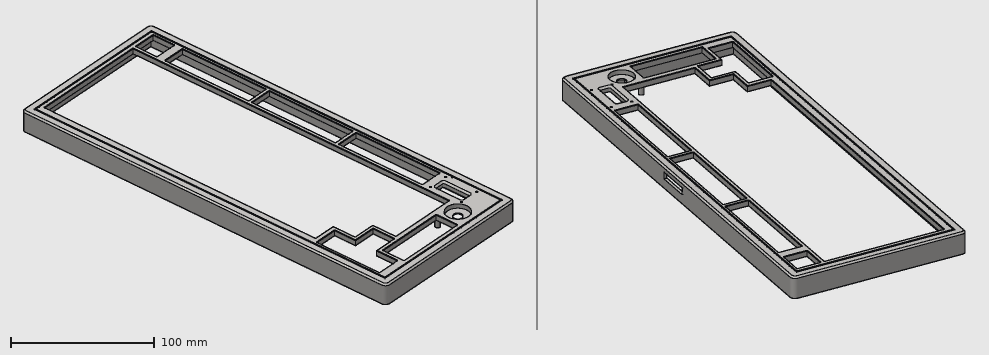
import cadquery as cq
LENGTH = 334.3
WIDTH = 139.5
HEIGHT = 17.5
CORNER_RADIUS = 4.0
TOP_CHAMFER = 1.5
PLATE_THICKNESS = 4.7
PLATE_BOTTOM = HEIGHT - PLATE_THICKNESS
SKIRT_THICKNESS = 2.5

GROOVE_MARGIN = 6.5
GROOVE_WIDTH = 1.0
GROOVE_DEPTH = 1.0

KEY = 19.0
EDGE_CHAMFER = 0.45
OPENING_LEFT = -156.5

MAIN_FRONT = -56.8
MAIN_ROWS = 5
MAIN_RIGHT = 132.7
LOWER_STEP_X = 91.5
UPPER_STEP_X = 111.5

FUNCTION_ROW_FRONT = 41.8
FUNCTION_ROW_DEPTH = 18.5
FUNCTION_BLOCK_LEFT = -129.7
FUNCTION_BLOCK_LENGTH = 76.2
FUNCTION_BLOCK_PITCH = 79.5
FUNCTION_BLOCK_COUNT = 3

SIDE_COLUMN_LEFT = 137.5
SIDE_COLUMN_ROWS = 3

ARROW_CENTER_X = 124.5
ARROW_FRONT = -60.2

SLOT_X = 126.7
SLOT_Y = 49.8
SLOT_LENGTH = 23.7
SLOT_WIDTH = 8.0
SLOT_CORNER_RADIUS = 0.7
SLOT_CHAMFER = 1.5
SCREW_DIAMETER = 1.6
SCREW_SPACING_X = 28.5
SCREW_SPACING_Y = 16.5
SCREW_CENTER_X = 126.0
SCREW_CENTER_Y = 51.5
SCREW_SKIN = 0.5

KNOB_X = 146.5
KNOB_Y = 32.0
KNOB_RECESS_DIAMETER = 19.0
KNOB_RECESS_DEPTH = 3.7
KNOB_HOLE_DIAMETER = 7.5
PIN_DIAMETER = 4.0
PIN_BOTTOM = 5.7
PIN_OFFSET = 10.0

PORT_X = 5.0
PORT_LENGTH = 26.5
PORT_BOTTOM = 7.5


def block(length, width, bottom, top):
    """Box centred on the Z axis between two heights."""
    return cq.Workplane("XY").workplane(offset=bottom).rect(length, width).extrude(top - bottom)


def cylinder(x, y, diameter, bottom, top):
    return cq.Workplane("XY", origin=(x, y, bottom)).circle(diameter / 2).extrude(top - bottom)


def corner_points(left, front, right, back):
    return [(left, front), (right, front), (right, back), (left, back)]


def case_body():
    body = block(LENGTH, WIDTH, 0, HEIGHT).edges("|Z").fillet(CORNER_RADIUS)
    body = body.faces(">Z").edges().chamfer(TOP_CHAMFER)
    inner_length = LENGTH - 2 * SKIRT_THICKNESS
    inner_width = WIDTH - 2 * SKIRT_THICKNESS
    return body.cut(block(inner_length, inner_width, 0, PLATE_BOTTOM))


def frame_groove():
    outer_length = LENGTH - 2 * GROOVE_MARGIN
    outer_width = WIDTH - 2 * GROOVE_MARGIN
    floor = HEIGHT - GROOVE_DEPTH
    island = block(outer_length - 2 * GROOVE_WIDTH, outer_width - 2 * GROOVE_WIDTH, floor, HEIGHT)
    return block(outer_length, outer_width, floor, HEIGHT).cut(island)


def main_outline():
    first_row = MAIN_FRONT + KEY
    second_row = MAIN_FRONT + 2 * KEY
    back = MAIN_FRONT + MAIN_ROWS * KEY
    return [
        (OPENING_LEFT, MAIN_FRONT),
        (LOWER_STEP_X, MAIN_FRONT),
        (LOWER_STEP_X, first_row),
        (UPPER_STEP_X, first_row),
        (UPPER_STEP_X, second_row),
        (MAIN_RIGHT, second_row),
        (MAIN_RIGHT, back),
        (OPENING_LEFT, back),
    ]


def arrow_outline():
    """Inverted T: three keys wide in front, one key wide behind."""
    base_left = ARROW_CENTER_X - 1.5 * KEY
    base_right = ARROW_CENTER_X + 1.5 * KEY
    stem_left = ARROW_CENTER_X - 0.5 * KEY
    stem_right = ARROW_CENTER_X + 0.5 * KEY
    shoulder = ARROW_FRONT + KEY
    back = ARROW_FRONT + 2 * KEY
    return [
        (base_left, ARROW_FRONT),
        (base_right, ARROW_FRONT),
        (base_right, shoulder),
        (stem_right, shoulder),
        (stem_right, back),
        (stem_left, back),
        (stem_left, shoulder),
        (base_left, shoulder),
    ]


def function_row_outlines():
    """One single key followed by equal blocks of keys."""
    back = FUNCTION_ROW_FRONT + FUNCTION_ROW_DEPTH
    outlines = [corner_points(OPENING_LEFT, FUNCTION_ROW_FRONT, OPENING_LEFT + KEY, back)]
    for index in range(FUNCTION_BLOCK_COUNT):
        left = FUNCTION_BLOCK_LEFT + index * FUNCTION_BLOCK_PITCH
        right = left + FUNCTION_BLOCK_LENGTH
        outlines.append(corner_points(left, FUNCTION_ROW_FRONT, right, back))
    return outlines


def side_column_outline():
    front = MAIN_FRONT + KEY
    back = front + SIDE_COLUMN_ROWS * KEY
    return corner_points(SIDE_COLUMN_LEFT, front, SIDE_COLUMN_LEFT + KEY, back)


def key_opening(outline):
    """Cutter through the plate that widens at the top to bevel the edge."""
    shaft = cq.Workplane("XY").polyline(outline).close().extrude(HEIGHT)
    bevel = (
        cq.Workplane("XY")
        .workplane(offset=HEIGHT - EDGE_CHAMFER)
        .polyline(outline)
        .close()
        .extrude(EDGE_CHAMFER, taper=-45)
    )
    return shaft.union(bevel)


def display_slot():
    shaft = block(SLOT_LENGTH, SLOT_WIDTH, 0, HEIGHT).edges("|Z").fillet(SLOT_CORNER_RADIUS)
    flare_bottom = HEIGHT - SLOT_CHAMFER
    flare_length = SLOT_LENGTH + 2 * SLOT_CHAMFER
    flare_width = SLOT_WIDTH + 2 * SLOT_CHAMFER
    flare = block(flare_length, flare_width, flare_bottom, HEIGHT + SLOT_CHAMFER)
    flare = flare.edges("|Z").fillet(SLOT_CORNER_RADIUS + SLOT_CHAMFER)
    flare = flare.faces("<Z").edges().chamfer(SLOT_CHAMFER)
    return shaft.union(flare).translate((SLOT_X, SLOT_Y, 0))


def display_screw_holes():
    return (
        cq.Workplane("XY", origin=(SCREW_CENTER_X, SCREW_CENTER_Y, 0))
        .rect(SCREW_SPACING_X, SCREW_SPACING_Y, forConstruction=True)
        .vertices()
        .circle(SCREW_DIAMETER / 2)
        .extrude(HEIGHT - SCREW_SKIN)
    )


def add_knob(body):
    for side in (-1, 1):
        pin_x = KNOB_X + side * PIN_OFFSET
        pin_y = KNOB_Y - PIN_OFFSET
        body = body.union(cylinder(pin_x, pin_y, PIN_DIAMETER, PIN_BOTTOM, PLATE_BOTTOM))
    body = body.cut(cylinder(KNOB_X, KNOB_Y, KNOB_HOLE_DIAMETER, 0, HEIGHT))
    recess_floor = HEIGHT - KNOB_RECESS_DEPTH
    return body.cut(cylinder(KNOB_X, KNOB_Y, KNOB_RECESS_DIAMETER, recess_floor, HEIGHT))


def cable_port():
    port = block(PORT_LENGTH, 2 * SKIRT_THICKNESS, PORT_BOTTOM, PLATE_BOTTOM)
    return port.translate((PORT_X, WIDTH / 2 - SKIRT_THICKNESS / 2, 0))


result = case_body().cut(frame_groove())
for key_outline in [main_outline(), arrow_outline(), side_column_outline(), *function_row_outlines()]:
    result = result.cut(key_opening(key_outline))
result = result.cut(display_slot()).cut(display_screw_holes())
result = add_knob(result)
result = result.cut(cable_port())